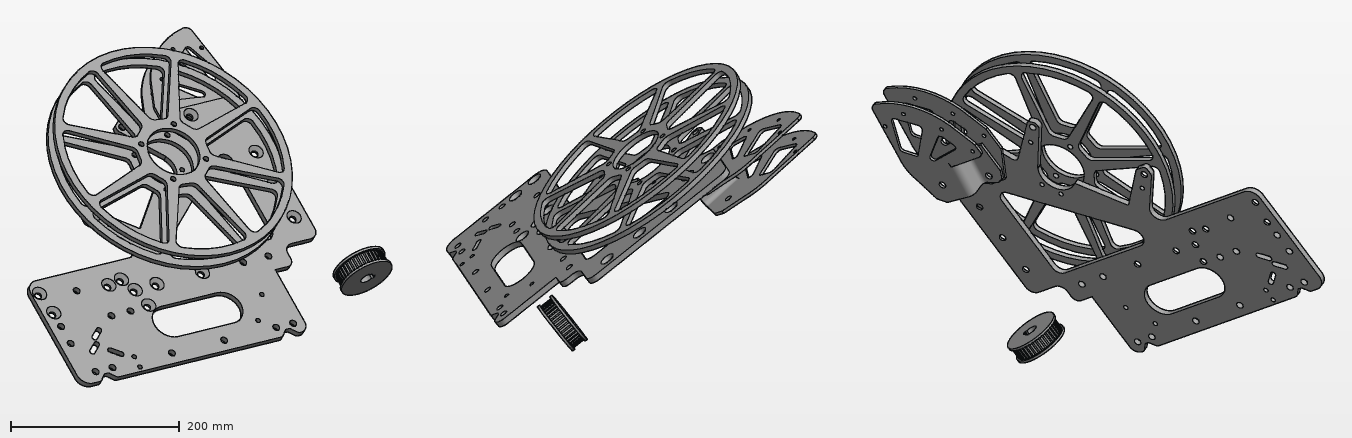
import cadquery as cq
import math

tilt = 37.2


def level(height):
    """Workplane parallel to the plates, at a height above the XY plane."""
    return cq.Workplane("XY").workplane(offset=height)


def rounded_outline(workplane, corners):
    """Closed outline through (x, y, corner radius) points, each corner sharp (radius 0) or an arc."""
    arcs = []
    for i, (x, y, radius) in enumerate(corners):
        before = corners[i - 1]
        after = corners[(i + 1) % len(corners)]
        corner = cq.Vector(x, y)
        to_before = (cq.Vector(before[0], before[1]) - corner).normalized()
        to_after = (cq.Vector(after[0], after[1]) - corner).normalized()
        half_angle = to_before.getAngle(to_after) / 2
        reach = radius / math.tan(half_angle)
        to_centre = (to_before + to_after).normalized()
        apex_distance = radius / math.sin(half_angle) - radius
        arcs.append(
            (
                corner + to_before * reach,
                corner + to_centre * apex_distance,
                corner + to_after * reach,
            )
        )
    outline = workplane.moveTo(arcs[0][2].x, arcs[0][2].y)
    for start, middle, end in arcs[1:] + arcs[:1]:
        outline = outline.lineTo(start.x, start.y)
        if start != end:
            outline = outline.threePointArc((middle.x, middle.y), (end.x, end.y))
    return outline.close()


plate_thickness = 7.5
sheet_thickness = 4.0
wheel_thickness = 6.0
wheel_pitch = 22.8
plate_bottom = -2.0
plate_top = plate_bottom + plate_thickness
guide_bottom = plate_bottom - sheet_thickness
tab_bottom = guide_bottom - sheet_thickness
bracket_bottom = -36.5
lower_wheel_bottom = 14.0


plate_left = 78.0
plate_right = 230.0
plate_base = -237.0
shoulder_y = 88.0
corner_radius = 15.0
notch_depth = 8.5
notch_floor = 5.5
notch_mouth = 22.8
notch_ys = (-198.5, 61.5)


def edge_notch(y):
    """Corners of one rounded notch in the right edge, listed upwards."""
    return [
        (plate_right, y - notch_mouth / 2, 5.5),
        (plate_right - notch_depth, y - notch_floor / 2, 3.0),
        (plate_right - notch_depth, y + notch_floor / 2, 3.0),
        (plate_right, y + notch_mouth / 2, 5.5),
    ]


plate_outline = [
    (plate_left, plate_base, corner_radius),
    (plate_right, plate_base, corner_radius),
    *edge_notch(notch_ys[0]),
    *edge_notch(notch_ys[1]),
    (plate_right, shoulder_y, 12.0),
    (140.5, shoulder_y, 0),
    (140.5, 115.5, 9.5),
    (111.5, 115.5, 12.0),
    (111.5, 167.5, 12.5),
    (-100.0, 167.5, 12.5),
    (-100.0, 79.5, 7.0),
    (-58.5, 52.0, 5.5),
    (-104.0, -3.5, 4.0),
    (-98.0, -11.5, 2.5),
    (-91.0, -12.5, 5.5),
    (-41.5, 31.0, 0),
    (44.0, -53.0, 2.5),
    (4.0, -99.0, 3.5),
    (4.0, -114.5, 4.7),
    (17.0, -114.5, 7.0),
    (plate_left, -59.0, 13.5),
]
plate_window = [(99.0, 112.0, 12.0), (99.0, -64.5, 12.5), (-36.5, 112.0, 9.5)]
hub_clearance_centre = (-27.0, 10.5)
hub_clearance_radius = 24.5
long_slot_centre = (174.0, -41.5)
long_slot_length = 123.7
long_slot_width = 44.5
screw_radius = 4.5
countersink_radius = 9.0
guide_screws = [(-88.0, 92.0), (-57.0, 96.5)]
countersunk_screws = guide_screws + [
    (-19.5, 148.0),
    (28.5, 148.5),
    (77.8, 149.5),
    (120.5, -5.5),
    (121.0, -71.0),
    (146.0, -96.5),
    (122.0, -103.0),
    (104.0, -113.0),
    (107.0, -132.7),
    (96.2, -226.0),
    (125.5, -222.0),
    (13.5, -105.3),
]
edge_hole_x = 215.5
bolt_holes = [(edge_hole_x, y) for y in (72.5, 48.5, -26.5, -101.5, -187.0, -211.0)] + [
    (120.5, 89.0),
    (120.5, 53.0),
    (148.0, -123.7),
    (148.0, -151.2),
    (104.5, -177.5),
    (146.0, -222.5),
    (171.0, -222.5),
    (-94.0, -4.0),
]
bolt_hole_radius = 4.5
pin_holes = [
    (168.5, 53.5),
    (201.0, 30.5),
    (208.5, -151.5),
    (224.0, -151.5),
    (-19.5, 41.5),
    (0.5, 25.5),
    (-76.5, 14.0),
    (29.0, -89.0),
]
pin_hole_radius = 3.0
adjuster_slots = [(167.0, -182.5, -52), (184.5, -195.5, -52), (196.8, -171.5, 52)]
adjuster_length = 20.5
adjuster_width = 6.5


def holes(points, radius, bottom, top):
    """Round hole cutters between two heights."""
    return level(bottom).pushPoints(points).circle(radius).extrude(top - bottom)


def main_plate():
    base = level(plate_bottom)
    plate = rounded_outline(base, plate_outline).extrude(plate_thickness)
    plate = plate.cut(rounded_outline(base, plate_window).extrude(plate_thickness))
    plate = plate.cut(holes([hub_clearance_centre], hub_clearance_radius, plate_bottom, plate_top))
    long_slot = base.center(*long_slot_centre).slot2D(long_slot_length, long_slot_width, 90)
    plate = plate.cut(long_slot.extrude(plate_thickness))
    plate = plate.cut(holes(countersunk_screws, screw_radius, plate_bottom, plate_top))
    plate = plate.cut(holes(bolt_holes, bolt_hole_radius, plate_bottom, plate_top))
    plate = plate.cut(holes(pin_holes, pin_hole_radius, plate_bottom, plate_top))
    countersink_depth = countersink_radius - screw_radius
    countersinks = level(plate_top - countersink_depth).pushPoints(countersunk_screws)
    plate = plate.cut(countersinks.circle(screw_radius).extrude(countersink_depth, taper=-45))
    for x, y, angle in adjuster_slots:
        slot = base.center(x, y).slot2D(adjuster_length, adjuster_width, angle)
        plate = plate.cut(slot.extrude(plate_thickness))
    return plate


wheel_centre = (-26.0, 17.5)
wheel_radius = 150.0
wheel_bore_radius = 33.0
pocket_count = 8
pocket_turn = -6.7
pocket_inner = 46.5
pocket_outer = 140.0
pocket_inner_half = 11.0
pocket_flare = 24.7
pocket_inner_round = 8.5
pocket_outer_round = 7.5
hub_bolt_count = 4
hub_bolt_circle = 41.0
hub_bolt_turn = pocket_turn + 1.5 * 360 / pocket_count
hub_bolt_radius = 3.5


def wheel_pocket():
    """One wedge pocket pointing along +X, with all four corners rounded."""
    flare = math.tan(math.radians(pocket_flare))
    outer_half = pocket_inner_half + (wheel_radius - pocket_inner) * flare
    wedge_corners = [
        (pocket_inner, pocket_inner_half, pocket_inner_round),
        (pocket_inner, -pocket_inner_half, pocket_inner_round),
        (wheel_radius, -outer_half, 0),
        (wheel_radius, outer_half, 0),
    ]
    wedge = rounded_outline(level(0), wedge_corners).extrude(wheel_thickness)
    pocket = wedge.intersect(level(0).circle(pocket_outer).extrude(wheel_thickness))
    return pocket.edges("|Z").edges(">X").fillet(pocket_outer_round)


def wheel(bottom):
    disc = level(0).circle(wheel_radius).circle(wheel_bore_radius).extrude(wheel_thickness)
    pocket = wheel_pocket()
    for i in range(pocket_count):
        disc = disc.cut(pocket.rotate((0, 0, 0), (0, 0, 1), pocket_turn + i * 360 / pocket_count))
    bolts = level(0).polarArray(hub_bolt_circle, hub_bolt_turn, 360, hub_bolt_count)
    disc = disc.cut(bolts.circle(hub_bolt_radius).extrude(wheel_thickness))
    return disc.translate((*wheel_centre, bottom))


nose_tip = [(-202.5, 158.5), (-206.0, 155.0), (-207.0, 147.0)]
nose_sweep = [(-181.0, 95.0), (-137.5, 66.5)]
nose_foot = (-114.0, 57.0)
sector_crest = [(-95.0, 169.5), (-116.0, 173.5), (-132.7, 171.0)]
sector_shoulder = [(-55.0, 151.5), (-64.0, 162.0)]
sector_window = [(-184.5, 142.0, 4.7), (-139.0, 163.0, 5.5), (-124.0, 145.0, 3.0), (-159.0, 108.0, 5.5)]
sector_slot = [(-109.5, 143.0, 4.5), (-117.0, 82.5, 4.7), (-142.0, 95.0, 4.7)]
sector_pins = [(-176.0, 158.5), (-183.0, 121.5), (-147.5, 86.0), (-106.5, 66.5)]
sector_pin_radius = 2.5


def sector(bottom, right_side):
    """Flat sheet with the curved nose on the left and the given corners on the right."""
    outline = level(bottom).moveTo(*nose_tip[0])
    outline = outline.threePointArc(nose_tip[1], nose_tip[2])
    outline = outline.threePointArc(nose_sweep[0], nose_sweep[1]).lineTo(*nose_foot)
    for corner in right_side:
        outline = outline.lineTo(*corner)
    outline = outline.lineTo(*sector_crest[0]).threePointArc(sector_crest[1], sector_crest[2]).close()
    sheet = outline.extrude(sheet_thickness)
    for opening in (sector_window, sector_slot):
        sheet = sheet.cut(rounded_outline(level(bottom), opening).extrude(sheet_thickness))
    return sheet.cut(holes(sector_pins, sector_pin_radius, bottom, bottom + sheet_thickness))


def sector_guide():
    right_side = [(-83.0, 57.0), (-44.0, 82.0), (-44.0, 104.5), (-52.0, 123.5)]
    guide = sector(guide_bottom, right_side + sector_shoulder)
    return guide.cut(holes(guide_screws, screw_radius, guide_bottom, plate_bottom))


bend_inner = 5.5
bend_outer = bend_inner + sheet_thickness
bend_angle = 10.8
bend_start = (-100.5, 101.5)
bend_length = 50.3
lower_corner = (-96.5, 57.0)
lower_corner_radius = 6.5
flange_hole = (-78.5, 141.0)


def on_bend(along, across):
    """Point (x, y) at a distance along the bend line and across it, towards the sector."""
    turn = math.radians(bend_angle)
    x = bend_start[0] + along * math.cos(turn) - across * math.sin(turn)
    y = bend_start[1] + along * math.sin(turn) + across * math.cos(turn)
    return (x, y)


def bracket_web():
    """Web between the lower and upper flanges, with its two opposite bends."""
    low = bracket_bottom + bend_outer
    high = guide_bottom - bend_outer
    outer_rise = bend_outer * math.sin(math.pi / 4)
    inner_rise = bend_inner * math.sin(math.pi / 4)
    profile = (
        cq.Workplane("YZ")
        .moveTo(bend_outer, low - bend_outer)
        .lineTo(bend_outer, low - bend_inner)
        .threePointArc((bend_outer - inner_rise, low - inner_rise), (sheet_thickness, low))
        .lineTo(sheet_thickness, high)
        .threePointArc((outer_rise - bend_inner, high + outer_rise), (-bend_inner, high + bend_outer))
        .lineTo(-bend_inner, high + bend_inner)
        .threePointArc((inner_rise - bend_inner, high + inner_rise), (0, high))
        .lineTo(0, low)
        .threePointArc((bend_outer - outer_rise, low - outer_rise), (bend_outer, low - bend_outer))
        .close()
    )
    web = profile.extrude(bend_length).rotate((0, 0, 0), (0, 0, 1), bend_angle)
    return web.translate((*bend_start, 0))


def bracket_tab():
    """Upper flange, screwed under the sector guide."""
    corners = [
        on_bend(0, -bend_inner),
        (-98.5, 76.0),
        (-58.5, 76.0),
        (-47.0, 82.5),
        (-44.5, 90.0),
        on_bend(bend_length, -bend_inner),
    ]
    tab = level(tab_bottom).polyline(corners).close().extrude(sheet_thickness)
    return tab.cut(holes(guide_screws, screw_radius, tab_bottom, guide_bottom))


def bracket():
    flange_top = bracket_bottom + sheet_thickness
    bend_left = on_bend(0, bend_outer)
    bend_right = on_bend(bend_length, bend_outer)
    lower_flange = sector(
        bracket_bottom,
        [lower_corner, (lower_corner[0], bend_left[1]), bend_left, bend_right, *sector_shoulder],
    )
    corner_edge = cq.selectors.NearestToPointSelector((*lower_corner, flange_top - sheet_thickness / 2))
    lower_flange = lower_flange.edges("|Z").edges(corner_edge).fillet(lower_corner_radius)
    lower_flange = lower_flange.cut(holes([flange_hole], screw_radius, bracket_bottom, flange_top))
    return lower_flange.union(bracket_web()).union(bracket_tab())


pulley_x = 154.0
pulley_y = 203.5
pulley_z = -3.0
pulley_width = 22.5
flange_radius = 33.5
flange_width = 3.5
tooth_radius = 31.5
tooth_count = 40
groove_radius = 1.5
pulley_bore_radius = 8.0
keyway_width = 4.7
keyway_reach = 11.0


def pulley():
    face = cq.Workplane("YZ", origin=(pulley_x, pulley_y, pulley_z))
    body = face.circle(tooth_radius).extrude(pulley_width)
    grooves = face.polarArray(tooth_radius, 0, 360, tooth_count).circle(groove_radius)
    body = body.cut(grooves.extrude(pulley_width))
    for offset in (0, pulley_width - flange_width):
        body = body.union(face.workplane(offset=offset).circle(flange_radius).extrude(flange_width))
    body = body.cut(face.circle(pulley_bore_radius).extrude(pulley_width))
    keyway = face.center(keyway_reach / 2, 0).rect(keyway_reach, keyway_width)
    return body.cut(keyway.extrude(pulley_width))


wheels = [wheel(lower_wheel_bottom + i * wheel_pitch) for i in range(2)]
bodies = [main_plate(), *wheels, sector_guide(), bracket(), pulley()]
tilted = [body.rotate((0, 0, 0), (0, 1, 0), tilt) for body in bodies]
result = cq.Compound.makeCompound([solid for body in tilted for solid in body.solids().vals()])